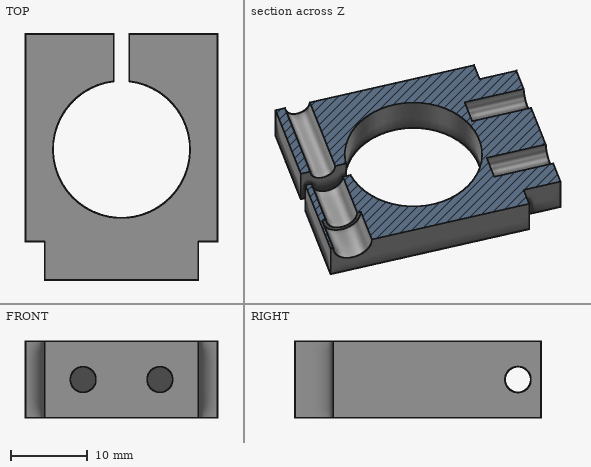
import cadquery as cq

width = 25.0
length = 32.0
thickness = 10.0

tongue_width = 20.0
tongue_length = 5.0

bore_diameter = 17.8
bore_center_y = 17.0
slit_width = 2.0

screw_inset = 3.0
screw_center_y = length - screw_inset
screw_head_diameter = 5.2
screw_head_depth = 5.0
screw_clearance_diameter = 4.2
screw_hole_diameter = 3.33

mount_hole_diameter = 3.33
mount_hole_spacing = 10.0
mount_hole_depth = 8.0

mid_z = thickness / 2


def clamp_body():
    """Block on a narrower tongue, starting at Y = 0 and centered on X = 0."""
    tongue = cq.Workplane("XY").box(tongue_width, length, thickness, centered=(True, False, False))
    block = (
        cq.Workplane("XY")
        .box(width, length - tongue_length, thickness, centered=(True, False, False))
        .translate((0, tongue_length, 0))
    )
    return tongue.union(block)


def clamp_opening():
    """Round bore joined to the slit through the +Y face."""
    bore = cq.Workplane("XY").center(0, bore_center_y).circle(bore_diameter / 2).extrude(thickness)
    slit = (
        cq.Workplane("XY")
        .box(slit_width, length - bore_center_y, thickness, centered=(True, False, False))
        .translate((0, bore_center_y, 0))
    )
    return bore.union(slit)


def screw_cut(diameter, depth):
    """Cylinder along X, running inward from the -X face."""
    return (
        cq.Workplane("YZ", origin=(-width / 2, screw_center_y, mid_z))
        .circle(diameter / 2)
        .extrude(depth)
    )


def mount_hole(x):
    """Cylinder running inward from the tongue face."""
    return (
        cq.Workplane("XZ", origin=(x, 0, mid_z))
        .circle(mount_hole_diameter / 2)
        .extrude(-mount_hole_depth)
    )


result = clamp_body().cut(clamp_opening())

for diameter, depth in (
    (screw_head_diameter, screw_head_depth),
    (screw_clearance_diameter, width / 2),
    (screw_hole_diameter, width),
):
    result = result.cut(screw_cut(diameter, depth))

for side in (-1, 1):
    result = result.cut(mount_hole(side * mount_hole_spacing / 2))